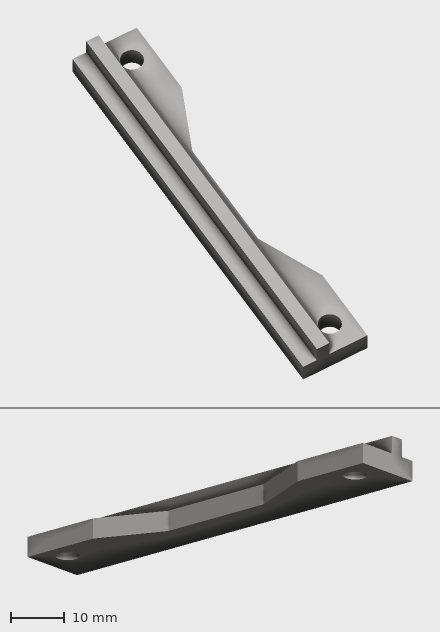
import cadquery as cq

length = 83.0
width = 14.0
height = 7.5

base_thickness = 4.0
rib_front = 3.0
rib_width = 2.7

ear_length = 16.2
recess_floor_start = 29.7
recess_floor_y = 8.1

hole_diameter = 4.5
hole_end_distance = 5.9
hole_y = 9.4


def make_base():
    """Plate with a symmetric tapered recess between its two ears."""
    outline = [
        (0, 0),
        (length, 0),
        (length, width),
        (length - ear_length, width),
        (length - recess_floor_start, recess_floor_y),
        (recess_floor_start, recess_floor_y),
        (ear_length, width),
        (0, width),
    ]
    return cq.Workplane("XY").polyline(outline).close().extrude(base_thickness)


def make_rib():
    """Full-length rib rising through the base to the overall height."""
    rib = cq.Workplane("XY").box(length, rib_width, height, centered=False)
    return rib.translate((0, rib_front, 0))


def make_holes():
    """Through holes, one in each ear."""
    centers = [(hole_end_distance, hole_y), (length - hole_end_distance, hole_y)]
    return cq.Workplane("XY").pushPoints(centers).circle(hole_diameter / 2).extrude(base_thickness)


result = make_base().union(make_rib()).cut(make_holes())